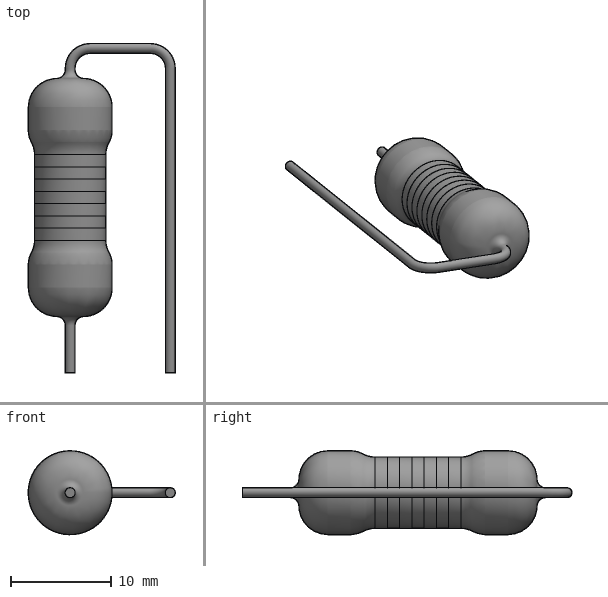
import cadquery as cq
import math

lead_diameter = 1.0
lead_pitch = 10.0
lead_bend_radius = 2.0
lead_bend_start = 12.88
lead_tip = -17.52

cap_diameter = 8.4
cap_inner_end = 6.71
body_length = 23.8
dome_radius = 2.9
collar_radius = 0.85

barrel_diameter = 7.14
band_diameter = 7.16
band_width = 1.222
band_count = 4

lead_radius = lead_diameter / 2
cap_radius = cap_diameter / 2
barrel_radius = barrel_diameter / 2
band_pitch = 2 * band_width
half_barrel = ((band_count - 1) * band_pitch + band_width) / 2


def point_on_circle(center, radius, angle):
    """Point at an angle (radians, from +X) on a circle."""
    return (center[0] + radius * math.cos(angle), center[1] + radius * math.sin(angle))


def make_end_cap():
    """Cap at the +Y end: flared neck, cylinder, dome, and a collar blending into the lead."""
    neck_middle = ((barrel_radius + cap_radius) / 2, (half_barrel + cap_inner_end) / 2)
    flare_rise = neck_middle[0] - barrel_radius
    flare_length = neck_middle[1] - half_barrel
    flare_radius = (flare_rise**2 + flare_length**2) / (2 * flare_rise)
    flare_center = (barrel_radius + flare_radius, half_barrel)
    flare_sweep = math.asin(flare_length / flare_radius)
    flare_middle = point_on_circle(flare_center, flare_radius, math.pi - flare_sweep / 2)

    dome_start = body_length / 2 - dome_radius
    dome_center = (cap_radius - dome_radius, dome_start)

    collar_center_radius = lead_radius + collar_radius
    center_distance = dome_radius + collar_radius
    contact_angle = math.acos((collar_center_radius - dome_center[0]) / center_distance)
    collar_center = point_on_circle(dome_center, center_distance, contact_angle)
    collar_contact = point_on_circle(dome_center, dome_radius, contact_angle)
    dome_middle = point_on_circle(dome_center, dome_radius, contact_angle / 2)

    return (
        cq.Workplane("XY")
        .moveTo(0, half_barrel)
        .lineTo(barrel_radius, half_barrel)
        .threePointArc(flare_middle, neck_middle)
        .tangentArcPoint((cap_radius, cap_inner_end), relative=False)
        .lineTo(cap_radius, dome_start)
        .threePointArc(dome_middle, collar_contact)
        .tangentArcPoint((lead_radius, collar_center[1]), relative=False)
        .lineTo(0, collar_center[1])
        .close()
        .revolve(360, (0, 0, 0), (0, 1, 0))
    )


def make_cylinder(diameter, length, center_y):
    """Solid cylinder along Y, centred at center_y."""
    return (
        cq.Workplane("XZ", origin=(0, center_y + length / 2, 0))
        .circle(diameter / 2)
        .extrude(length)
    )


def make_body():
    """Barrel between two mirrored end caps, with slightly raised colour bands."""
    cap = make_end_cap()
    barrel = make_cylinder(barrel_diameter, 2 * half_barrel, 0)
    body = barrel.union(cap).union(cap.mirror("XZ"))
    for index in range(band_count):
        center_y = (index - (band_count - 1) / 2) * band_pitch
        body = body.union(make_cylinder(band_diameter, band_width, center_y))
    return body


def make_lead():
    """Wire running through the body, over two quarter bends and back along -Y."""
    crossbar_y = lead_bend_start + lead_bend_radius
    path = (
        cq.Workplane("XY")
        .moveTo(0, lead_tip)
        .lineTo(0, lead_bend_start)
        .tangentArcPoint((lead_bend_radius, crossbar_y), relative=False)
        .lineTo(lead_pitch - lead_bend_radius, crossbar_y)
        .tangentArcPoint((lead_pitch, lead_bend_start), relative=False)
        .lineTo(lead_pitch, lead_tip)
    )
    return (
        cq.Workplane("XZ", origin=(0, lead_tip, 0))
        .circle(lead_radius)
        .sweep(path)
    )


result = make_body().union(make_lead())